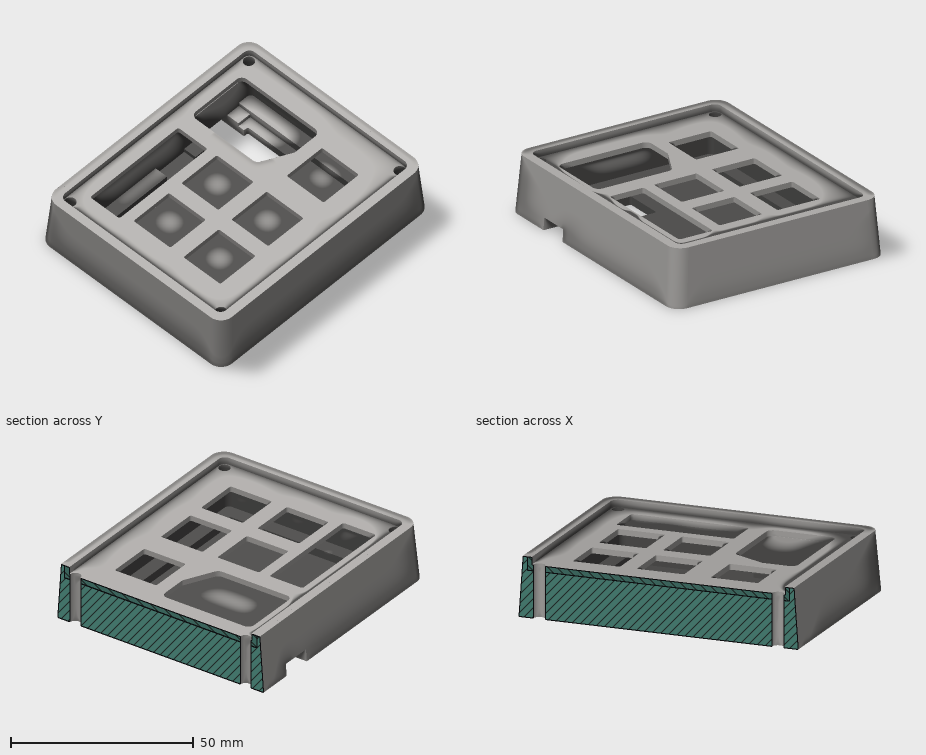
import cadquery as cq

case_x, case_y, case_z = 69.5, 83.0, 17.5
case_radius = 4.15
top_inset = 1.25

plate_x, plate_y = 64.65, 77.5
plate_radius = 3.0
tray_x, tray_y = 61.25, 75.0
tray_radius = 2.1
tray_depth = 2.15
plate_thickness = 1.7
plate_top = case_z - tray_depth
plate_bottom = plate_top - plate_thickness

screw_diameter = 3.4
screw_spacing_x, screw_spacing_y = 57.35, 70.8

key_size = 14.0
key_radius = 0.5
key_pitch = 19.0
key_right_x, key_bottom_y = 14.6, -21.3
key_single_y = 19.6

controller_left, controller_right = -26.6, 3.3
controller_bottom, controller_top = 10.2, 30.3
controller_slant_x, controller_slant_y = -1.75, 20.25
controller_radius = 2.0

display_left, display_right = -26.0, -14.85
display_bottom, display_top = -30.4, 4.6
display_radius = 0.7

cavity_x, cavity_y = 52.9, 67.4
cavity_radius = 1.5
ledge_z = 5.0
inner_x, inner_y = 44.2, 58.1
floor_z = 2.5

gap_bottom, gap_top = -3.9, 7.4

opening_left, opening_right = -20.0, -5.15
opening_bottom, opening_top = 12.95, 25.9
opening_radius = 0.7
slot_bottom, slot_top = 14.85, 24.4
slot_height = 3.7


def block(left, right, bottom, top, z_low, z_high):
    """A box given by its limits on the three axes."""
    size = (right - left, top - bottom, z_high - z_low)
    return cq.Workplane("XY").box(*size, centered=False).translate((left, bottom, z_low))


def rounded_block(size_x, size_y, radius, z_low, z_high):
    """A box centred on the Z axis with rounded upright edges."""
    box = block(-size_x / 2, size_x / 2, -size_y / 2, size_y / 2, z_low, z_high)
    return box.edges("|Z").fillet(radius)


def screw_holes():
    return (
        cq.Workplane("XY")
        .rect(screw_spacing_x, screw_spacing_y, forConstruction=True)
        .vertices()
        .circle(screw_diameter / 2)
        .extrude(case_z)
    )


def key_windows():
    left_x = key_right_x - key_pitch
    upper_y = key_bottom_y + key_pitch
    centres = [(x, y) for x in (left_x, key_right_x) for y in (key_bottom_y, upper_y)]
    centres.append((key_right_x, key_single_y))
    window = rounded_block(key_size, key_size, key_radius, plate_bottom, plate_top)
    windows = cq.Workplane("XY")
    for x, y in centres:
        windows = windows.add(window.translate((x, y, 0)))
    return windows.combine()


def controller_window():
    outline = [
        (controller_left, controller_bottom),
        (controller_slant_x, controller_bottom),
        (controller_right, controller_slant_y),
        (controller_right, controller_top),
        (controller_left, controller_top),
    ]
    window = cq.Workplane("XY", origin=(0, 0, plate_bottom)).polyline(outline).close()
    window = window.extrude(plate_thickness)
    upright = cq.selectors.ParallelDirSelector(cq.Vector(0, 0, 1))
    slant_end = cq.selectors.NearestToPointSelector(
        (controller_right, controller_slant_y, plate_bottom + plate_thickness / 2)
    )
    rounded_edges = cq.selectors.SubtractSelector(upright, slant_end)
    return window.edges(rounded_edges).fillet(controller_radius)


def display_window():
    window = block(display_left, display_right, display_bottom, display_top, plate_bottom, plate_top)
    return window.edges("|Z").fillet(display_radius)


def make_plate():
    plate = rounded_block(plate_x, plate_y, plate_radius, plate_bottom, case_z)
    plate = plate.cut(rounded_block(tray_x, tray_y, tray_radius, plate_top, case_z))
    plate = plate.cut(key_windows())
    plate = plate.cut(controller_window())
    plate = plate.cut(display_window())
    return plate.cut(screw_holes())


def tapered_block():
    top_x = case_x - 2 * top_inset
    top_y = case_y - 2 * top_inset
    base = cq.Sketch().rect(case_x, case_y).vertices().fillet(case_radius)
    top = cq.Sketch().rect(top_x, top_y).vertices().fillet(case_radius)
    raised_top = top.moved(cq.Location(cq.Vector(0, 0, case_z)))
    return cq.Workplane("XY").placeSketch(base, raised_top).loft()


def cavity():
    outer = rounded_block(cavity_x, cavity_y, cavity_radius, ledge_z, plate_bottom)
    inner = block(-inner_x / 2, inner_x / 2, -inner_y / 2, inner_y / 2, floor_z, plate_bottom)
    gap = block(-cavity_x / 2, -inner_x / 2, gap_bottom, gap_top, floor_z, plate_bottom)
    shelf = block(-cavity_x / 2, -inner_x / 2, gap_top, inner_y / 2, slot_height, plate_bottom)
    return outer.union(inner).union(gap).union(shelf)


def plug_cut():
    """The floor opening and the slot that joins it to the left side."""
    opening = block(opening_left, opening_right, opening_bottom, opening_top, 0, floor_z)
    opening = opening.edges("|Z").fillet(opening_radius)
    slot = block(-case_x / 2, opening_left, slot_bottom, slot_top, 0, slot_height)
    return opening.union(slot)


def make_case():
    case = tapered_block()
    case = case.cut(rounded_block(plate_x, plate_y, plate_radius, plate_bottom, case_z))
    case = case.cut(cavity())
    case = case.cut(plug_cut())
    return case.cut(screw_holes())


plate = make_plate()
case = make_case()

result = cq.Compound.makeCompound([case.val(), plate.val()])